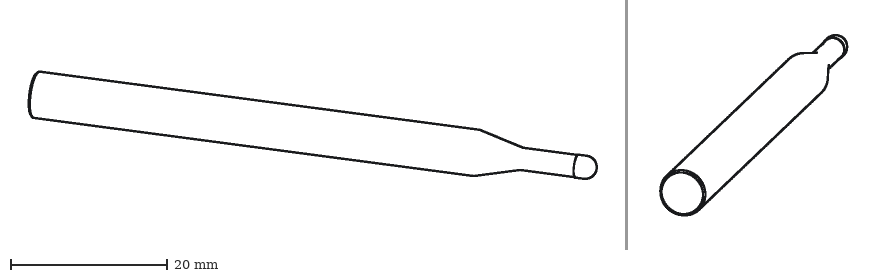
import cadquery as cq
import math

overall_length = 75.0
shank_diameter = 6.0
shank_chamfer = 0.25
ball_diameter = 3.0
head_length = 2.6
neck_diameter = 2.9
reach = 10.0
taper_length = 6.0

shank_radius = shank_diameter / 2
ball_radius = ball_diameter / 2
neck_radius = neck_diameter / 2

neck_start = overall_length - reach
taper_start = neck_start - taper_length
head_start = overall_length - head_length
ball_center = overall_length - ball_radius
arc_offset = ball_radius * math.sqrt(0.5)


def half_profile():
    """Closed outline above the X axis, from the shank end to the ball tip."""
    return (
        cq.Workplane("XY")
        .moveTo(0, 0)
        .lineTo(0, shank_radius - shank_chamfer)
        .lineTo(shank_chamfer, shank_radius)
        .lineTo(taper_start, shank_radius)
        .lineTo(neck_start, neck_radius)
        .lineTo(head_start, neck_radius)
        .lineTo(head_start, ball_radius)
        .lineTo(ball_center, ball_radius)
        .threePointArc((ball_center + arc_offset, arc_offset), (overall_length, 0))
        .close()
    )


result = half_profile().revolve(360, (0, 0, 0), (1, 0, 0))